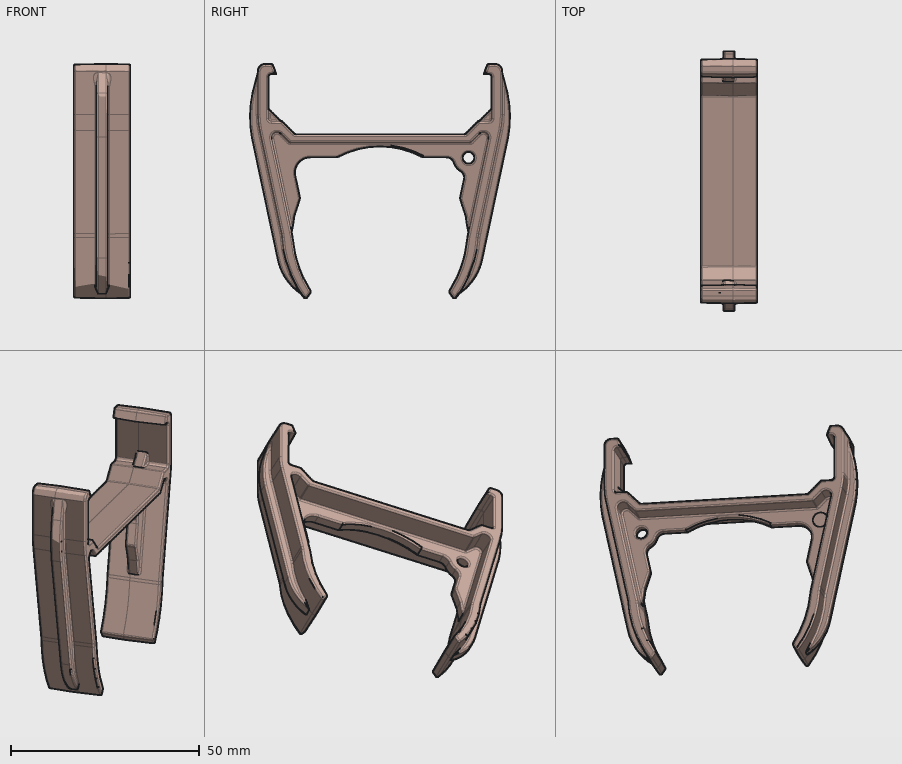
import cadquery as cq
import math


half_width = 7.5
plate_half = 1.5
round_radius = 0.5
plate_radius = 0.47
parting_x = plate_half - round_radius
draft_angle = 1.0
leg_lean = math.tan(math.radians(12))

bridge_thickness = 2.3
bridge_end_y = 22.55
under_end_y = 24.0
ledge_z = 3.5
wall_inner_y = 29.5
wall_outer_y = 32.4
hook_under_z = 15.85
hook_tip_y = 27.45
hook_top_y = 28.5
top_z = 18.6
bend_z = 3.1
outer_knee_z = -26.9
inner_knee = (23.1, -27.45)
foot_outer = (19.7, -43.9)
foot_inner = (18.2, -41.8)
foot_outer_mid = (24.05, -36.3)
foot_inner_mid = (21.5, -35.1)
ramp_radius = 0.4
inner_corner_radius = 0.7
hook_tip_radius = 0.7
hook_outer_radius = 2.0
bend_radius = 20.0
knee_radius = 6.9
pocket_radius = 1.4
foot_radius = 0.55
leg_core_top = (30.2, 0.7)
leg_core_knee = (24.5, -27.45)

web_edge_z = -6.2
web_arch_half = 11.4
web_arch_z = -3.3
web_corner_y = 23.45
web_corner_radius = 4.0
web_peak_z = -17.0
web_peak_radius = 1.4
web_waist = (22.7, -21.7)
web_toe_mid = (22.95, -23.85)
web_toe = (23.6, -26.75)
ramp_core_rise = 3.45

rib_bury = 1.4
rib_top = (32.1, 17.3)
rib_swell_top = (33.8, 10.9)
rib_swell_mid = (34.5, 4.8)
rib_swell_bottom = (34.0, -0.75)
rib_foot_z = -32.75
rib_foot_mid = (25.1, -38.05)
rib_foot_end = (20.4, -42.6)
rib_core_foot = (21.4, -40.3)
rib_core_shin = (23.85, -31.0)

gusset_setback = 0.3
gusset_low_z = 1.4
gusset_buried_y = 31.0

hole_y = 23.45
hole_z = -6.3
hole_diameter = 3.0
hole_rim_radius = 0.5
boss_radius = 4.15
boss_blend_radius = 2.0

insert_y = -24.9
insert_z = -5.65
insert_diameter = 4.0
insert_thickness = 0.5


def leg_inner_y(z):
    return inner_knee[0] + leg_lean * (z - inner_knee[1])


def leg_outer_y(z):
    return wall_outer_y + leg_lean * (z - bend_z)


def point_at(point, side=1):
    return cq.Vector(0, side * point[0], point[1])


def path_edges(path, side=1):
    """Edges along a path of (y, z) points; a pair of points (mid, end) is an arc."""
    edges = []
    here = path[0]
    for step in path[1:]:
        if isinstance(step[0], tuple):
            mid, end = step
            edges.append(
                cq.Edge.makeThreePointArc(point_at(here, side), point_at(mid, side), point_at(end, side))
            )
        else:
            end = step
            edges.append(cq.Edge.makeLine(point_at(here, side), point_at(end, side)))
        here = end
    return edges


def closed_face(edges):
    return cq.Face.makeFromWires(cq.Wire.assembleEdges(edges))


def symmetric_face(path, corners, arch_z=None):
    """Face bounded by a path and its mirror image, with (point, radius) corners rounded.

    The ends of the path are joined to their mirror images by lines, or, for the
    last point, by an arc through arch_z.
    """
    first = path[0]
    last = path[-1]
    start_edge = cq.Edge.makeLine(point_at(first), point_at(first, -1))
    if arch_z is None:
        end_edge = cq.Edge.makeLine(point_at(last), point_at(last, -1))
    else:
        end_edge = cq.Edge.makeThreePointArc(point_at(last), point_at((0, arch_z)), point_at(last, -1))
    face = closed_face(path_edges(path) + path_edges(path, -1) + [start_edge, end_edge])
    for side in (1, -1):
        for point, radius in corners:
            place = point_at(point, side)
            corner = min(face.Vertices(), key=lambda vertex: (vertex.Center() - place).Length)
            face = face.fillet2D(radius, [corner])
    return face


def make_plate(face):
    plate = cq.Solid.extrudeLinear(face, cq.Vector(2 * plate_half, 0, 0))
    return cq.Workplane(plate.translate(cq.Vector(-plate_half, 0, 0)))


def plate_side_edges(body):
    """Edges lying in the two side planes of the plates."""
    edges = []
    for edge in body.edges().vals():
        box = edge.BoundingBox()
        middle_x = (box.xmin + box.xmax) / 2
        if box.xlen < 0.001 and abs(abs(middle_x) - plate_half) < 0.001:
            edges.append(edge)
    return edges


def join_plate(body, plate):
    """Union a plate with the body and round the new plate's edges and roots."""
    earlier = [edge.Center() for edge in plate_side_edges(body)]
    joined = body.union(plate)
    fresh = [
        edge for edge in plate_side_edges(joined)
        if all((edge.Center() - center).Length > 0.01 for center in earlier)
    ]
    return joined.newObject(fresh).fillet(plate_radius)


def make_strip():
    ramp_bottom = (bridge_end_y, 0)
    ramp_top = (bridge_end_y + ledge_z, ledge_z)
    ledge_inner = (wall_inner_y, ledge_z)
    hook_inner = (wall_inner_y, hook_under_z)
    hook_tip = (hook_top_y, top_z)
    hook_outer = (wall_outer_y, top_z)
    bend = (wall_outer_y, bend_z)
    knee_outer = (leg_outer_y(outer_knee_z), outer_knee_z)
    under_turn = (under_end_y, -bridge_thickness)
    pocket_z = (leg_inner_y(0) - under_end_y - bridge_thickness) / (1 - leg_lean)
    pocket = (leg_inner_y(pocket_z), pocket_z)
    path = [
        ramp_bottom, ramp_top, ledge_inner, hook_inner, (hook_tip_y, hook_under_z), hook_tip,
        hook_outer, bend, knee_outer, (foot_outer_mid, foot_outer), foot_inner,
        (foot_inner_mid, inner_knee), pocket, under_turn,
    ]
    corners = [
        (ramp_bottom, ramp_radius), (ramp_top, ramp_radius), (under_turn, ramp_radius),
        (ledge_inner, inner_corner_radius), (hook_inner, inner_corner_radius),
        (hook_tip, hook_tip_radius), (hook_outer, hook_outer_radius), (bend, bend_radius),
        (knee_outer, knee_radius), (inner_knee, knee_radius), (pocket, pocket_radius),
        (foot_outer, foot_radius), (foot_inner, foot_radius),
    ]
    outline = symmetric_face(path, corners).outerWire()
    parting_outline = outline.translate(cq.Vector(parting_x, 0, 0))
    drafted = []
    for end_x, end in ((half_width, ">X"), (-half_width, "<X")):
        inset = abs(end_x - parting_x) * math.tan(math.radians(draft_angle))
        end_outline = outline.offset2D(-inset, "tangent")[0].translate(cq.Vector(end_x, 0, 0))
        part = cq.Workplane(cq.Solid.makeLoft([parting_outline, end_outline], True))
        drafted.append(part.faces(end).edges().fillet(round_radius))
    return drafted[0].union(drafted[1])


def make_rib():
    foot_start = (rib_swell_bottom[0] + leg_lean * (rib_foot_z - rib_swell_bottom[1]), rib_foot_z)
    buried_top = (wall_outer_y - rib_bury, rib_top[1])
    path = [
        buried_top, rib_top, rib_swell_top, (rib_swell_mid, rib_swell_bottom), foot_start,
        (rib_foot_mid, rib_foot_end), rib_core_foot, rib_core_shin, leg_core_knee, leg_core_top,
        (wall_outer_y - rib_bury, ledge_z), buried_top,
    ]
    return make_plate(closed_face(path_edges(path)))


def make_gusset():
    slope_start_y = bridge_end_y + gusset_setback
    low_corner = (slope_start_y + gusset_low_z, gusset_low_z)
    path = [
        low_corner, (gusset_buried_y, gusset_buried_y - slope_start_y),
        (gusset_buried_y, gusset_low_z), low_corner,
    ]
    return make_plate(closed_face(path_edges(path)))


def make_web():
    core_z = -bridge_thickness / 2
    corner = (web_corner_y, web_edge_z)
    peak = (web_corner_y + leg_lean * (web_peak_z - web_edge_z), web_peak_z)
    path = [
        (bridge_end_y, core_z), (bridge_end_y + ramp_core_rise, core_z + ramp_core_rise),
        leg_core_top, leg_core_knee, web_toe, (web_toe_mid, web_waist), peak, corner,
        (web_arch_half, web_edge_z),
    ]
    corners = [(corner, web_corner_radius), (peak, web_peak_radius)]
    web = make_plate(symmetric_face(path, corners, web_arch_z))
    boss = (
        cq.Workplane("YZ", origin=(-plate_half, hole_y, hole_z))
        .circle(boss_radius).extrude(2 * plate_half)
    )
    web = web.union(boss)
    hole_center = cq.Vector(0, hole_y, hole_z)
    meeting_edges = [
        edge for edge in web.edges("|X").vals()
        if abs((edge.Center() - hole_center).Length - boss_radius) < 0.035
    ]
    return web.newObject(meeting_edges).fillet(boss_blend_radius)


def cut_hole(body):
    bore = (
        cq.Workplane("YZ", origin=(-plate_half, hole_y, hole_z))
        .circle(hole_diameter / 2).extrude(2 * plate_half)
    )
    bored = body.cut(bore)
    rims = [
        edge for edge in plate_side_edges(bored)
        if edge.geomType() == "CIRCLE" and abs(edge.radius() - hole_diameter / 2) < 0.001
    ]
    return bored.newObject(rims).fillet(hole_rim_radius)


def make_insert():
    return (
        cq.Workplane("YZ", origin=(-plate_half, insert_y, insert_z))
        .circle(insert_diameter / 2).extrude(insert_thickness)
    )


def make_clip(insert):
    span = 4 * wall_outer_y
    positive_y = cq.Workplane().box(span, span, span).translate((0, span / 2, 0))
    half = make_strip().intersect(positive_y)
    half = join_plate(half, make_gusset())
    half = join_plate(half, make_rib())
    clip = half.union(half.mirror("XZ"))
    clip = join_plate(clip, make_web())
    clip = cut_hole(clip)
    return clip.cut(insert)


insert = make_insert()
clip = make_clip(insert)
result = cq.Compound.makeCompound([*clip.solids().vals(), insert.val()])